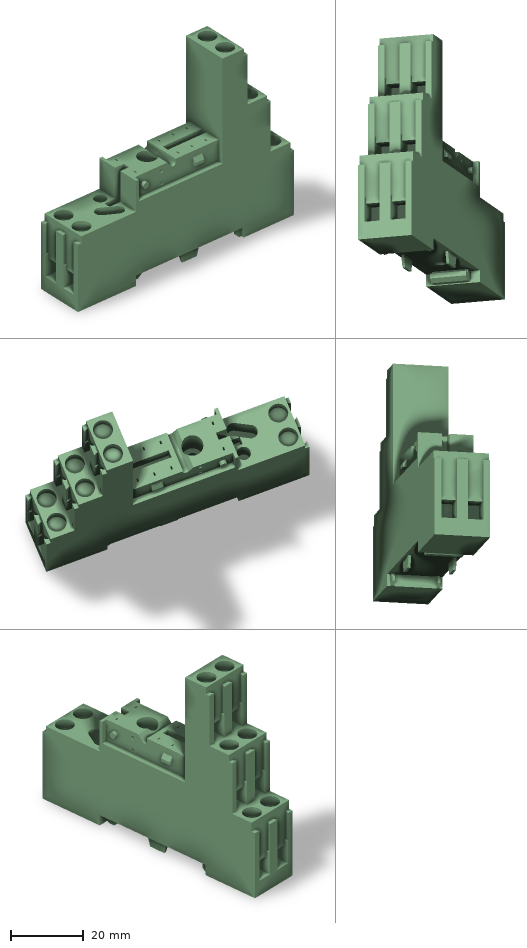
import cadquery as cq
import math


WIDTH = 15.6
LENGTH = 77.6
HEIGHT = 61.0
FRONT_Y = -LENGTH / 2
REAR_Y = LENGTH / 2

DECK_Z = 24.0
TIER_RISE = 18.5
MIDDLE_DECK_Z = DECK_Z + TIER_RISE
TIER_DEPTH = 8.3
MIDDLE_TIER_Y = REAR_Y - TIER_DEPTH
TOP_TIER_Y = MIDDLE_TIER_Y - TIER_DEPTH
TOWER_FRONT_Y = 13.2
LEDGE_DEPTH = 1.25
LEDGE_DROP = 2.2
LOW_REAR_LEDGE_DROP = 2.9

SEAT_Z = 34.0
SEAT_FRONT_Y = -17.9
SEAT_LIP = 1.0
SEAT_WIDTH = 12.2
SEAT_SIDE_X = SEAT_WIDTH / 2
SIDE_SHELF_Z = 27.0

RAIL_Z = 3.35
RAIL_REAR_Y = 20.8
RAIL_FRONT_Y = SEAT_FRONT_Y
CLIP_WIDTH = 13.6
CLIP_THICKNESS = 0.8
FRONT_HOOK_WIDTH = 10.4
HOOK_TOP_Z = 2.43
HOOK_CHAMFER_Z = 1.1
REAR_HOOK_NECK_Y = 19.83
REAR_HOOK_TIP_Y = 18.8
REAR_HOOK_BASE_Y = 20.0
FRONT_HOOK_NECK_Y = -15.46
FRONT_HOOK_TIP_Y = -13.66
FRONT_HOOK_BASE_REAR_Y = -14.97
FRONT_HOOK_BASE_FRONT_Y = -16.77
FOOT_Y = 2.18
FOOT_TOP_LENGTH = 7.1
FOOT_BASE_LENGTH = 5.1

TERMINAL_X = 3.77
SCREW_HOLE_RADIUS = 2.75
SCREW_HOLE_DEPTH = 3.0
SCREW_INSET = 4.65
WIRE_SLOT_WIDTH = 4.37
WIRE_SLOT_FLOOR_Z = 4.86
WIRE_POCKET_HEIGHT = 5.4
WIRE_POCKET_DEPTH = 6.0
SCALLOP_INSET = 0.5
SCALLOP_FLOOR_RISE = 7.1

PIN_X = 4.0
PIN_LENGTH = 1.0
PIN_WIDTH = 0.5
PIN_DEPTH = 4.0
PIN_YS = (10.35, 5.4, 0.4, -15.0)

CENTRE_SLOT_WIDTH = 2.2
CENTRE_SLOT_DEPTH = 4.0
REAR_SLOT_END_Y = -0.8
FRONT_SLOT_REAR_Y = -14.7
FRONT_SLOT_FRONT_Y = -21.75

FIXING_Y = -7.35
FIXING_RADIUS = 1.6
FIXING_BORE_RADIUS = 3.0
FIXING_BORE_DEPTH = 10.0

GROOVE_REAR_Y = -2.2
GROOVE_WALL_Z = 32.85
GROOVE_BOTTOM = (-3.15, 32.0)
GROOVE_RAMP_START = (-4.0, 32.5)
GROOVE_FRONT_Y = -5.25

OPENING_RADIUS = 1.95
OPENING_Y = -21.0
OPENING_DEPTH = 6.0
OBLONG_END = (1.46, -25.1)

WEDGE_REAR_Y = 7.2
WEDGE_LENGTH = 3.25
WEDGE_REACH = 1.05
WEDGE_TOP_Z = 32.04
WEDGE_EDGE_Z = 30.58
WEDGE_BOTTOM_Z = 29.6
PEG_Y = -13.75
PEG_Z = 30.58
PEG_RADIUS = 1.0
PEG_REACH = 1.2
SIDE_HOLE_RADIUS = 0.5
SIDE_HOLE_DEPTH = 1.0
SIDE_HOLE_ZS = (32.05, 28.1)


def box(x_min, x_max, y_min, y_max, z_min, z_max):
    """Box between two opposite corners."""
    size = (x_max - x_min, y_max - y_min, z_max - z_min)
    return cq.Workplane("XY").box(*size, centered=False).translate((x_min, y_min, z_min))


def plate(points, width):
    """(Y, Z) outline extruded across X, centred on X = 0."""
    return cq.Workplane("YZ").polyline(points).close().extrude(width / 2, both=True)


def post(x, y, radius, z_min, z_max):
    """Vertical cylinder."""
    return cq.Workplane("XY", origin=(x, y, z_min)).circle(radius).extrude(z_max - z_min)


def side_post(y, z, radius, x_min, x_max):
    """Cylinder along X."""
    return cq.Workplane("YZ", origin=(x_min, y, z)).circle(radius).extrude(x_max - x_min)


def make_body():
    outline = [
        (FRONT_Y, 0),
        (FRONT_Y, DECK_Z - LEDGE_DROP),
        (FRONT_Y + LEDGE_DEPTH, DECK_Z - LEDGE_DROP),
        (FRONT_Y + LEDGE_DEPTH, DECK_Z),
        (SEAT_FRONT_Y, DECK_Z),
        (SEAT_FRONT_Y, SEAT_Z),
        (TOWER_FRONT_Y, SEAT_Z),
        (TOWER_FRONT_Y, HEIGHT),
        (TOP_TIER_Y - LEDGE_DEPTH, HEIGHT),
        (TOP_TIER_Y - LEDGE_DEPTH, HEIGHT - LEDGE_DROP),
        (TOP_TIER_Y, HEIGHT - LEDGE_DROP),
        (TOP_TIER_Y, MIDDLE_DECK_Z),
        (MIDDLE_TIER_Y - LEDGE_DEPTH, MIDDLE_DECK_Z),
        (MIDDLE_TIER_Y - LEDGE_DEPTH, MIDDLE_DECK_Z - LEDGE_DROP),
        (MIDDLE_TIER_Y, MIDDLE_DECK_Z - LEDGE_DROP),
        (MIDDLE_TIER_Y, DECK_Z),
        (REAR_Y - LEDGE_DEPTH, DECK_Z),
        (REAR_Y - LEDGE_DEPTH, DECK_Z - LOW_REAR_LEDGE_DROP),
        (REAR_Y, DECK_Z - LOW_REAR_LEDGE_DROP),
        (REAR_Y, 0),
        (RAIL_REAR_Y, 0),
        (RAIL_REAR_Y, RAIL_Z),
        (RAIL_FRONT_Y, RAIL_Z),
        (RAIL_FRONT_Y, 0),
    ]
    return plate(outline, WIDTH)


def make_rail_clips():
    """Paired thin legs of the rear hook and centre foot, and the solid front hook."""
    rear_hook = [
        (RAIL_REAR_Y, RAIL_Z),
        (REAR_HOOK_NECK_Y, RAIL_Z),
        (REAR_HOOK_NECK_Y, HOOK_TOP_Z),
        (REAR_HOOK_TIP_Y, HOOK_TOP_Z),
        (REAR_HOOK_TIP_Y, HOOK_CHAMFER_Z),
        (REAR_HOOK_BASE_Y, 0),
        (RAIL_REAR_Y, 0),
    ]
    foot = [
        (FOOT_Y + FOOT_TOP_LENGTH / 2, RAIL_Z),
        (FOOT_Y + FOOT_BASE_LENGTH / 2, 0),
        (FOOT_Y - FOOT_BASE_LENGTH / 2, 0),
        (FOOT_Y - FOOT_TOP_LENGTH / 2, RAIL_Z),
    ]
    front_hook = [
        (RAIL_FRONT_Y, RAIL_Z),
        (FRONT_HOOK_NECK_Y, RAIL_Z),
        (FRONT_HOOK_NECK_Y, HOOK_TOP_Z),
        (FRONT_HOOK_TIP_Y, HOOK_TOP_Z),
        (FRONT_HOOK_TIP_Y, HOOK_CHAMFER_Z),
        (FRONT_HOOK_BASE_REAR_Y, 0),
        (FRONT_HOOK_BASE_FRONT_Y, 0),
        (RAIL_FRONT_Y, HOOK_CHAMFER_Z),
    ]
    gap_width = CLIP_WIDTH - 2 * CLIP_THICKNESS
    leg_gap = box(-gap_width / 2, gap_width / 2, RAIL_FRONT_Y, RAIL_REAR_Y, 0, RAIL_Z)
    legs = plate(rear_hook, CLIP_WIDTH).union(plate(foot, CLIP_WIDTH)).cut(leg_gap)
    return legs.union(plate(front_hook, FRONT_HOOK_WIDTH))


def cut_seat_sides(part):
    for side in (-1, 1):
        x_min, x_max = sorted((side * SEAT_SIDE_X, side * WIDTH / 2))
        part = part.cut(box(x_min, x_max, SEAT_FRONT_Y + SEAT_LIP, TOWER_FRONT_Y, SIDE_SHELF_Z, SEAT_Z))
    return part


def cut_terminal(part, x, face_y, inward, deck_z, ledge_z, floor_z):
    """Screw hole and wire entry; inward is the Y direction from the outer face into the body."""
    screw_y = face_y + inward * SCREW_INSET
    part = part.cut(post(x, screw_y, SCREW_HOLE_RADIUS, deck_z - SCREW_HOLE_DEPTH, deck_z))

    slot_back_y = face_y + inward * LEDGE_DEPTH
    y_min, y_max = sorted((face_y, slot_back_y))
    x_min = x - WIRE_SLOT_WIDTH / 2
    x_max = x + WIRE_SLOT_WIDTH / 2
    slot = box(x_min, x_max, y_min, y_max, floor_z, ledge_z)

    scallop_y = slot_back_y + inward * SCALLOP_INSET
    scallop = post(x, scallop_y, SCREW_HOLE_RADIUS, floor_z + SCALLOP_FLOOR_RISE, ledge_z)
    ledge_zone = box(-WIDTH / 2, WIDTH / 2, y_min, y_max, floor_z, ledge_z)

    y_min, y_max = sorted((face_y, face_y + inward * WIRE_POCKET_DEPTH))
    pocket = box(x_min, x_max, y_min, y_max, floor_z, floor_z + WIRE_POCKET_HEIGHT)
    return part.cut(slot).cut(scallop.intersect(ledge_zone)).cut(pocket)


def cut_terminals(part):
    low_rear_ledge_z = DECK_Z - LOW_REAR_LEDGE_DROP
    rows = [
        (FRONT_Y, 1, DECK_Z, DECK_Z - LEDGE_DROP, WIRE_SLOT_FLOOR_Z),
        (REAR_Y, -1, DECK_Z, low_rear_ledge_z, WIRE_SLOT_FLOOR_Z),
        (MIDDLE_TIER_Y, -1, MIDDLE_DECK_Z, MIDDLE_DECK_Z - LEDGE_DROP, DECK_Z),
        (TOP_TIER_Y, -1, HEIGHT, HEIGHT - LEDGE_DROP, MIDDLE_DECK_Z),
    ]
    for row in rows:
        for x in (-TERMINAL_X, TERMINAL_X):
            part = cut_terminal(part, x, *row)
    return part


def cut_pin_holes(part):
    centres = [(x, y) for x in (-PIN_X, PIN_X) for y in PIN_YS]
    seat = cq.Workplane("XY", origin=(0, 0, SEAT_Z))
    return part.cut(seat.pushPoints(centres).rect(PIN_LENGTH, PIN_WIDTH).extrude(-PIN_DEPTH))


def cut_centre_slots(part):
    x = CENTRE_SLOT_WIDTH / 2
    rear_slot = box(-x, x, REAR_SLOT_END_Y, TOWER_FRONT_Y, SEAT_Z - CENTRE_SLOT_DEPTH, SEAT_Z)
    front_floor_z = DECK_Z - CENTRE_SLOT_DEPTH
    front_slot = box(-x, x, FRONT_SLOT_FRONT_Y, FRONT_SLOT_REAR_Y, front_floor_z, SEAT_Z)
    return part.cut(rear_slot).cut(front_slot)


def cut_fixing_hole(part):
    part = part.cut(post(0, FIXING_Y, FIXING_RADIUS, 0, SEAT_Z))
    return part.cut(post(0, FIXING_Y, FIXING_BORE_RADIUS, SEAT_Z - FIXING_BORE_DEPTH, SEAT_Z))


def cut_cross_groove(part):
    profile = (
        cq.Workplane("YZ")
        .moveTo(GROOVE_REAR_Y, SEAT_Z)
        .lineTo(GROOVE_REAR_Y, GROOVE_WALL_Z)
        .threePointArc(GROOVE_BOTTOM, GROOVE_RAMP_START)
        .lineTo(GROOVE_FRONT_Y, SEAT_Z)
        .close()
    )
    return part.cut(profile.extrude(SEAT_SIDE_X, both=True))


def cut_deck_openings(part):
    """Round opening and slanted oblong opening in the front deck."""
    floor_z = DECK_Z - OPENING_DEPTH
    part = part.cut(post(-TERMINAL_X, OPENING_Y, OPENING_RADIUS, floor_z, DECK_Z))
    end_x, end_y = OBLONG_END
    run_x = TERMINAL_X - end_x
    run_y = OPENING_Y - end_y
    length = math.hypot(run_x, run_y) + 2 * OPENING_RADIUS
    angle = math.degrees(math.atan2(run_y, run_x))
    middle = ((TERMINAL_X + end_x) / 2, (OPENING_Y + end_y) / 2, floor_z)
    oblong = (
        cq.Workplane("XY", origin=middle)
        .slot2D(length, 2 * OPENING_RADIUS, angle)
        .extrude(OPENING_DEPTH)
    )
    return part.cut(oblong)


def add_side_details(part):
    """Latch wedge, peg and two small blind holes on each side of the seat."""
    for side in (-1, 1):
        wall_x = side * SEAT_SIDE_X
        wedge_x = wall_x + side * WEDGE_REACH
        wedge = (
            cq.Workplane("XZ", origin=(0, WEDGE_REAR_Y, 0))
            .polyline([
                (wall_x, WEDGE_TOP_Z),
                (wedge_x, WEDGE_EDGE_Z),
                (wedge_x, WEDGE_BOTTOM_Z),
                (wall_x, WEDGE_BOTTOM_Z),
            ])
            .close()
            .extrude(WEDGE_LENGTH)
        )
        peg = side_post(PEG_Y, PEG_Z, PEG_RADIUS, *sorted((wall_x, wall_x + side * PEG_REACH)))
        part = part.union(wedge).union(peg)
        hole_span = sorted((wall_x - side * SIDE_HOLE_DEPTH, wall_x))
        for z in SIDE_HOLE_ZS:
            part = part.cut(side_post(FIXING_Y, z, SIDE_HOLE_RADIUS, *hole_span))
    return part


part = make_body().union(make_rail_clips())
part = cut_seat_sides(part)
part = cut_terminals(part)
part = cut_pin_holes(part)
part = cut_centre_slots(part)
part = cut_fixing_hole(part)
part = cut_cross_groove(part)
part = cut_deck_openings(part)
result = add_side_details(part)